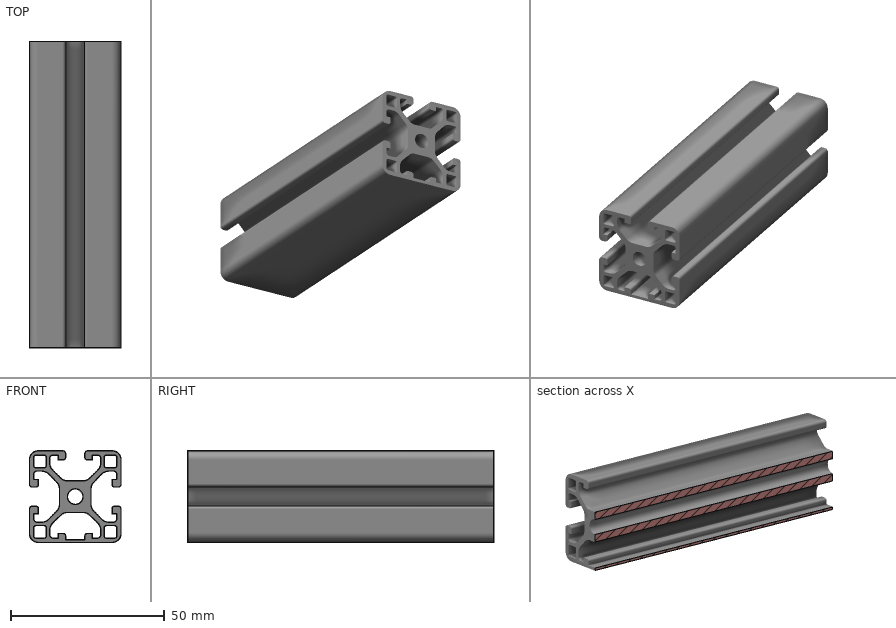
import cadquery as cq
import math

length = 100
side = 30
half = side / 2
corner_radius = 3
wall = 1.5
web_thickness = 1

core_half = 5.2
bore_diameter = 5

chamber_side = 4
chamber_radius = 0.6
chamber_centre = half - wall - chamber_side / 2

mouth_half = 3.1
lip_width = 2.5
lip_depth = 3
mouth_outer_radius = 1
mouth_inner_radius = 0.8

undercut_half = 8.3
undercut_corner_radius = 1
undercut_flank_radius = 3.5
rib_angle = 44
floor_half = 3.8
rib_root_radius = 3

flank_height = core_half + (undercut_half - floor_half) * math.tan(math.radians(rib_angle))

lip_bottom = half - lip_depth
undercut_top = half - wall
mouth_outer = (mouth_half, half)
mouth_inner = (mouth_half, lip_bottom)
lip_heel = (mouth_half + lip_width, lip_bottom)
lip_root = (mouth_half + lip_width, undercut_top)
undercut_corner = (undercut_half, undercut_top)
undercut_flank = (undercut_half, flank_height)
rib_root = (floor_half, core_half)


def profile_plane():
    """Plane of the cross-section, on the -Y end of the bar."""
    return cq.Workplane("XZ", origin=(0, -length / 2, 0))


def extrude_bar(outline):
    return outline.extrude(-length)


def mirrored_pair(corner):
    x, z = corner
    return [(x, z), (-x, z)]


def fillet_lengthwise(body, corner, radius):
    """Round the two lengthwise edges at (x, z) and (-x, z)."""
    for x, z in mirrored_pair(corner):
        body = body.edges(cq.selectors.NearestToPointSelector((x, 0, z))).fillet(radius)
    return body


def turn(body, angle):
    return body.rotate((0, 0, 0), (0, 1, 0), angle)


def make_slot():
    """Void of one T-slot that opens towards +Z."""
    right = [mouth_outer, mouth_inner, lip_heel, lip_root, undercut_corner, undercut_flank, rib_root]
    left = [(-x, z) for x, z in reversed(right)]
    slot = extrude_bar(profile_plane().polyline(right + left).close())
    slot = fillet_lengthwise(slot, mouth_inner, mouth_inner_radius)
    slot = fillet_lengthwise(slot, undercut_corner, undercut_corner_radius)
    slot = fillet_lengthwise(slot, undercut_flank, undercut_flank_radius)
    return fillet_lengthwise(slot, rib_root, rib_root_radius)


def make_chambers():
    spacing = 2 * chamber_centre
    centres = profile_plane().rect(spacing, spacing, forConstruction=True).vertices()
    chambers = extrude_bar(centres.rect(chamber_side, chamber_side))
    return chambers.edges("|Y").fillet(chamber_radius)


def make_web():
    """Strip that closes the slot on the -Z side, flush with the outer face."""
    centre_height = -half + web_thickness / 2
    return extrude_bar(profile_plane().center(0, centre_height).rect(2 * mouth_half, web_thickness))


def make_bore():
    return extrude_bar(profile_plane().circle(bore_diameter / 2))


profile = extrude_bar(profile_plane().rect(side, side)).edges("|Y").fillet(corner_radius)
profile = profile.cut(make_bore()).cut(make_chambers())

slot = make_slot()
for angle in (0, 90, 270):
    upright = turn(profile, -angle).cut(slot)
    profile = turn(fillet_lengthwise(upright, mouth_outer, mouth_outer_radius), angle)

closed_slot = turn(slot, 180).cut(make_web())

result = profile.cut(closed_slot)